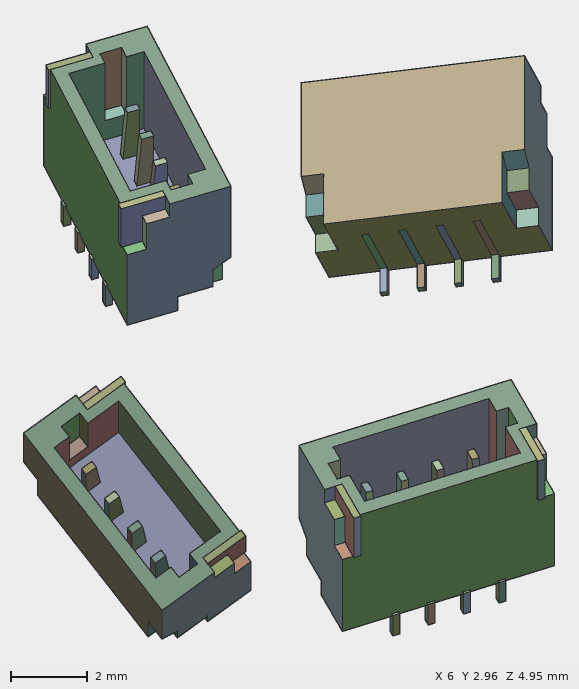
import cadquery as cq


WIDTH = 6.0
DEPTH = 2.9
HEIGHT = 4.25

BACK_WALL = 0.4
FRONT_WALL = 0.395
END_WALL = 0.8
CAVITY_FLOOR = 1.25
CAVITY_WIDTH = WIDTH - 2 * END_WALL
CAVITY_DEPTH = DEPTH - BACK_WALL - FRONT_WALL

KEY_END_WALL = 0.45
KEY_FLOOR = 2.0
KEY_BACK = 0.895
KEY_DEPTH = 0.6

RELIEF_WIDTH = 0.6
RELIEF_TOP = 1.48
RELIEF_SHOULDER = 1.195
RELIEF_STEP_HEIGHT = 0.54
RELIEF_UPPER_DEPTH = 0.5
RELIEF_LOWER_DEPTH = 1.48

TAB_INSET = 0.3
TAB_THICKNESS = 0.2
TAB_HEIGHT = 1.5
TAB_ARM_HEIGHT = 0.51
TAB_BACK = 1.71
TAB_LEG_BACK = 2.36
TAB_FRONT = 2.95

PIN_COUNT = 4
PIN_PITCH = WIDTH / 6
PIN_WIDTH = 0.2
TIP_BELOW_RIM = 1.235
POST_BACK = 0.835
POST_DEPTH = 0.47
TIP_DEPTH = 0.335
TAIL_FRONT = 2.96
TAIL_THICKNESS = 0.2
TAIL_TOP = 0.085
TAIL_DROP = 0.7


def end_plate(outline, x_start, thickness):
    """Extrude a (Y, Z) outline along +X, starting at x_start."""
    return cq.Workplane("YZ", origin=(x_start, 0, 0)).polyline(outline).close().extrude(thickness)


def box_from_back(width, back, depth, bottom, height):
    """Box centred in X whose back face lies at the given distance from the back of the housing."""
    return (
        cq.Workplane("XY", origin=(0, -back - depth / 2, bottom))
        .box(width, depth, height, centered=(True, True, False))
    )


def mirrored_pair(left):
    """A shape at the left end together with its mirror image at the right end."""
    return [left, left.mirror("YZ")]


def make_tab_outline():
    """L-shaped (Y, Z) outline: an arm along the rim and a leg down the front."""
    bottom = HEIGHT - TAB_HEIGHT
    arm_bottom = HEIGHT - TAB_ARM_HEIGHT
    return [
        (-TAB_BACK, HEIGHT),
        (-TAB_FRONT, HEIGHT),
        (-TAB_FRONT, bottom),
        (-TAB_LEG_BACK, bottom),
        (-TAB_LEG_BACK, arm_bottom),
        (-TAB_BACK, arm_bottom),
    ]


def make_tabs():
    outline = make_tab_outline()
    return mirrored_pair(end_plate(outline, -WIDTH / 2 + TAB_INSET, TAB_THICKNESS))


def make_pin(x_center):
    """Post tapering from the cavity floor to its tip, a foot along the base and a hanging front tail."""
    tip = HEIGHT - TIP_BELOW_RIM
    post_front = POST_BACK + POST_DEPTH
    tail_back = TAIL_FRONT - TAIL_THICKNESS
    outline = [
        (-POST_BACK, 0),
        (-POST_BACK, tip),
        (-POST_BACK - TIP_DEPTH, tip),
        (-post_front, CAVITY_FLOOR),
        (-post_front, TAIL_TOP),
        (-TAIL_FRONT, TAIL_TOP),
        (-TAIL_FRONT, -TAIL_DROP),
        (-tail_back, -TAIL_DROP),
        (-tail_back, 0),
    ]
    return end_plate(outline, x_center - PIN_WIDTH / 2, PIN_WIDTH)


def make_pins():
    first_x = -PIN_PITCH * (PIN_COUNT - 1) / 2
    return [make_pin(first_x + i * PIN_PITCH) for i in range(PIN_COUNT)]


def make_housing(pins):
    body = box_from_back(WIDTH, 0, DEPTH, 0, HEIGHT)

    cavity_height = HEIGHT - CAVITY_FLOOR
    cavity = box_from_back(CAVITY_WIDTH, BACK_WALL, CAVITY_DEPTH, CAVITY_FLOOR, cavity_height)
    key_width = WIDTH - 2 * KEY_END_WALL
    keys = box_from_back(key_width, KEY_BACK, KEY_DEPTH, KEY_FLOOR, HEIGHT - KEY_FLOOR)
    body = body.cut(cavity).cut(keys)

    recess_outline = make_tab_outline()
    for recess in mirrored_pair(end_plate(recess_outline, -WIDTH / 2, TAB_INSET + TAB_THICKNESS)):
        body = body.cut(recess)

    relief_outline = [
        (0, 0),
        (0, RELIEF_TOP),
        (-RELIEF_UPPER_DEPTH, RELIEF_SHOULDER),
        (-RELIEF_UPPER_DEPTH, RELIEF_STEP_HEIGHT),
        (-RELIEF_LOWER_DEPTH, RELIEF_STEP_HEIGHT),
        (-RELIEF_LOWER_DEPTH, 0),
    ]
    for relief in mirrored_pair(end_plate(relief_outline, -WIDTH / 2, RELIEF_WIDTH)):
        body = body.cut(relief)

    for pin in pins:
        body = body.cut(pin)
    return body


tabs = make_tabs()
pins = make_pins()
housing = make_housing(pins)

result = cq.Compound.makeCompound(
    [housing.val(), *[tab.val() for tab in tabs], *[pin.val() for pin in pins]]
)